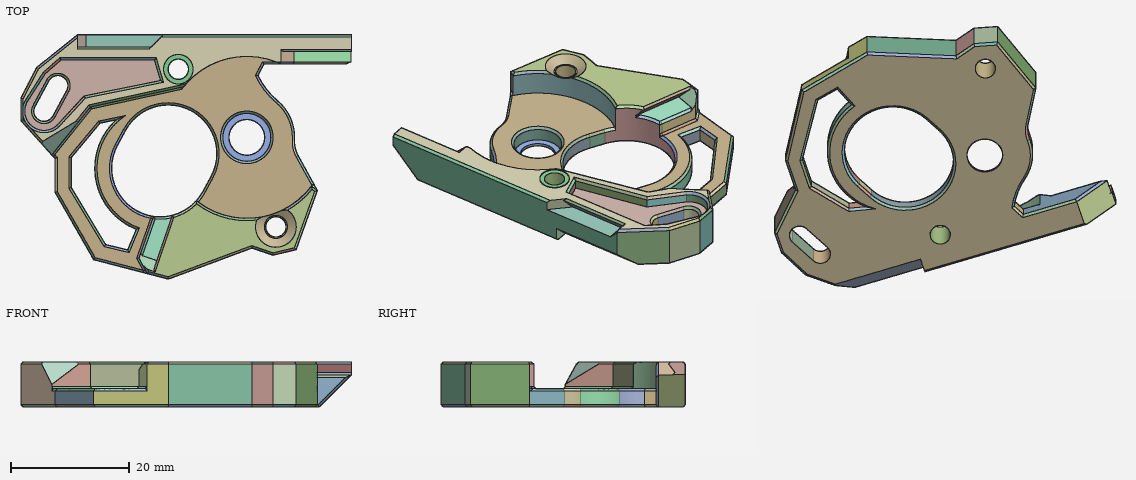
import cadquery as cq
import math

LENGTH = 56.0
WIDTH = 41.37
HEIGHT = 7.65
PLATE_TOP = 3.1
EDGE = 0.4
FOOT = 0.35
OVERSHOOT = 1.0

STEP_FLOOR = 5.75
STEP_DEPTH = HEIGHT - STEP_FLOOR
STEP_UNDERCUT = 1.1
STEP_LIP = 0.35
RAIL_STEP_FLOOR = 5.4
RAIL_STEP_FOOT = 0.45

RAIL_BOTTOM_Y = 36.38
RAIL_STEP_X = 44.0
RAIL_STEP_Y = 38.5
RAIL_SLOPE_HEIGHT = 5.5

PIVOT = (38.25, 24.0)
PIVOT_DIAMETER = 6.0
PIVOT_BORE_DIAMETER = 8.1
PIVOT_LEDGE_Z = 0.5
RECESS_RADIUS = 13.7
PIVOT_LOBE_RADIUS = 8.1
LOBE_BLEND_RADIUS = 5.0

SLOT_ANGLE = 61.6
OPENING_LOW_CENTER = (23.6, 18.76)
OPENING_TRAVEL = 2.84
OPENING_RADIUS = 8.2
RING_RADIUS = 11.1
SLIT_CORNERS = [(13.4, 26.38), (8.55, 20.56), (8.55, 15.51), (14.38, 5.87), (18.09, 4.97)]
SLIT_ARC_ANGLES = (248.5, 185, 132.5)

PIN_CENTER = (26.66, 35.53)
PIN_DIAMETER = 3.4
PIN_SEAT_DIAMETER = 5.0
PIN_SEAT_DEPTH = 0.1
POCKET_FLOOR = STEP_FLOOR
SLOT_LOW_CENTER = (3.93, 28.43)
SLOT_TRAVEL = 4.9
SLOT_DIAMETER = 3.4
POCKET_END_RADIUS = 3.25
POCKET_CORNERS = [(4.13, 34.75), (6.8, 37.08), (22.61, 37.08), (23.65, 33.62), (10.73, 31.01)]
POCKET_ARC_ANGLES = (-48, -120, -208.4)
UPPER_WALL_START_X = 5.25
UPPER_WALL_CORNERS = [(11.77, 29.13), (27.02, 32.44)]
NOTCH_FRONT_Y = 39.32
NOTCH_START_X = 9.61
NOTCH_RAMP_X = 9.1
NOTCH_END_X = 22.1
BOTTOM_BEVEL = 2.6
FACET_TOP_LEFT = (3.57, 23.23, HEIGHT)
FACET_TOP_RIGHT = (9.75, 26.97, HEIGHT)
FACET_BOTTOM = (5.17, 21.07, 3.95)
FACET_CUT_LENGTH = 9.0

SCREW_CENTER = (43.17, 8.85)
SCREW_DIAMETER = 3.4
SCREW_SEAT_DIAMETER = 3.9
SCREW_HEAD_DIAMETER = 6.9
SCREW_HEAD_DEPTH = 1.1
LOWER_WALL_CORNERS = [(22.3, 10.17), (20.0, 3.57)]
LOWER_WALL_END_X = 21.4
INSIDE_OPENING = (25.6, 19.0)
STEP_WALL_BOTTOM = (22.4, 1.35)
STEP_WALL_TOP = (25.47, 10.31)
STEP_WIDTH = 6.0

BACK_LEFT = (NOTCH_START_X, WIDTH)
LEFT_CORNERS = [(2.67, 35.81), (0.0, 30.62), (0.0, 26.83)]
WAIST = (5.78, 20.42)
LOWER_LEFT_CORNERS = [(5.78, 14.72), (12.33, 3.29)]
LOWEST = (24.97, 0.0)
FOOT_CORNERS = [(39.1, 5.25), (42.67, 4.04), (46.6, 4.97)]
TIP = (50.2, 15.0)
HOOK = (40.15, 34.47)
HOOK_ROOT = (41.15, RAIL_BOTTOM_Y)


def along(point, angle, distance):
    """Point at a distance from another one in a direction given in degrees."""
    turn = math.radians(angle)
    return (point[0] + distance * math.cos(turn), point[1] + distance * math.sin(turn))


def between(start, end, x):
    """Point on the straight line through start and end at a given X."""
    share = (x - start[0]) / (end[0] - start[0])
    return (x, start[1] + share * (end[1] - start[1]))


def nearest(point):
    """Selector of the edge whose centre is closest to a point."""
    return cq.selectors.NearestToPointSelector(point)


def at_height(z):
    """Horizontal workplane at a given Z."""
    return cq.Workplane("XY", origin=(0, 0, z))


LOBE_START = along(PIVOT, -12, PIVOT_LOBE_RADIUS)
LOBE_MIDDLE = along(PIVOT, 20, PIVOT_LOBE_RADIUS)
LOBE_END = along(PIVOT, 50, PIVOT_LOBE_RADIUS)


def oblong(low_center, travel, diameter, z, height):
    """Upright prism with rounded ends, tilted by the common slot angle."""
    center = along(low_center, SLOT_ANGLE, travel / 2)
    return (
        at_height(z).center(*center).slot2D(travel + diameter, diameter, SLOT_ANGLE).extrude(height)
    )


def oblong_rim(low_center, travel, diameter, top):
    """Bevel cutter for the upper rim of an oblong opening."""
    center = along(low_center, SLOT_ANGLE, travel / 2)
    width = diameter + 2 * EDGE
    rim = at_height(top).center(*center).slot2D(travel + width, width, SLOT_ANGLE)
    return rim.extrude(-EDGE, taper=45)


def cylinder(center, diameter, z, height):
    """Upright cylinder standing at height z."""
    return at_height(z).center(*center).circle(diameter / 2).extrude(height)


def outline_prism():
    """Full-height prism of the plan outline, rail included."""
    return (
        cq.Workplane("XY")
        .polyline([BACK_LEFT, *LEFT_CORNERS, WAIST, *LOWER_LEFT_CORNERS, LOWEST, *FOOT_CORNERS, TIP])
        .lineTo(*LOBE_START)
        .threePointArc(LOBE_MIDDLE, LOBE_END)
        .tangentArcPoint(HOOK, relative=False)
        .lineTo(*HOOK_ROOT)
        .lineTo(LENGTH, RAIL_BOTTOM_Y)
        .lineTo(LENGTH, WIDTH)
        .close()
        .extrude(HEIGHT)
        .edges(nearest((*LOBE_START, HEIGHT / 2)))
        .fillet(LOBE_BLEND_RADIUS)
    )


def slit():
    """Through slit between the outer frame and the ring of the large opening."""
    arc_start, arc_middle, arc_end = [
        along(OPENING_LOW_CENTER, angle, RING_RADIUS) for angle in SLIT_ARC_ANGLES
    ]
    return (
        cq.Workplane("XY")
        .polyline([arc_end, *SLIT_CORNERS, arc_start])
        .threePointArc(arc_middle, arc_end)
        .close()
        .extrude(HEIGHT)
    )


def opening():
    """Large oblong through opening."""
    return oblong(OPENING_LOW_CENTER, OPENING_TRAVEL, 2 * OPENING_RADIUS, 0, HEIGHT)


def recess():
    """Round clearance cut from the raised blocks, centred on the pivot."""
    return cylinder(PIVOT, 2 * RECESS_RADIUS, 0, HEIGHT)


def slide_step(length, width, depth=STEP_DEPTH, foot=0.0):
    """Cutter with an undercut wall along +X from the origin, open towards +Y, ramped at its start."""
    profile = [
        (-STEP_LIP, 0),
        (0, -STEP_LIP),
        (-STEP_UNDERCUT, foot - depth),
        (width, -depth),
        (width, 0),
    ]
    if foot:
        profile.insert(3, (foot - STEP_UNDERCUT, -depth))
    section = cq.Workplane("YZ").polyline(profile).close().extrude(length)
    ramp = (
        cq.Workplane("XZ")
        .polyline([(0, 0), (depth, -depth), (length, -depth), (length, 0)])
        .close()
        .extrude(width + OVERSHOOT, both=True)
    )
    return section.intersect(ramp)


def build_plate(outline):
    """Base plate with its through openings and bevelled edges."""
    layer = cq.Workplane("XY").rect(LENGTH, WIDTH, centered=False).extrude(PLATE_TOP)
    plate = outline.intersect(layer)
    plate = plate.cut(opening()).cut(slit())
    plate = plate.faces("<Z").chamfer(EDGE)
    plate = plate.cut(cylinder(PIVOT, PIVOT_DIAMETER, 0, HEIGHT))
    plate = plate.cut(cylinder(PIVOT, PIVOT_BORE_DIAMETER, PIVOT_LEDGE_Z, HEIGHT))
    return plate.faces(">Z").chamfer(EDGE)


def block_on_plate(corners):
    """Straight block standing on the plate."""
    base = PLATE_TOP / 2
    return at_height(base).polyline(corners).close().extrude(HEIGHT - base)


def wall_foot(corners, outline):
    """Bevel around the foot of a block, kept inside the outline and clear of the openings."""
    foot = (
        at_height(PLATE_TOP).polyline(corners).close().offset2D(FOOT, "intersection")
        .extrude(FOOT, taper=45)
    )
    return foot.intersect(outline).cut(recess()).cut(opening()).cut(slit())


def pocket():
    """Pocket of the upper block with a bevelled rim."""
    arc_start, arc_middle, arc_end = [
        along(SLOT_LOW_CENTER, angle, POCKET_END_RADIUS) for angle in POCKET_ARC_ANGLES
    ]

    def profile(z):
        lines = at_height(z).polyline([arc_end, *POCKET_CORNERS, arc_start])
        return lines.threePointArc(arc_middle, arc_end).close()

    rim = profile(HEIGHT).offset2D(EDGE, "intersection").extrude(-EDGE, taper=45)
    return profile(POCKET_FLOOR).extrude(HEIGHT - POCKET_FLOOR).union(rim)


def rail_step():
    """Slide step along the inner side of the rail, open at the rail end."""
    length = LENGTH - RAIL_STEP_X + OVERSHOOT
    step = slide_step(length, WIDTH - RAIL_BOTTOM_Y, HEIGHT - RAIL_STEP_FLOOR, RAIL_STEP_FOOT)
    return step.mirror("XZ").translate((RAIL_STEP_X, RAIL_STEP_Y, HEIGHT))


def back_notch():
    """Slide step along the back edge, ended by a 45 degree wall."""
    reach = WIDTH - NOTCH_FRONT_Y + OVERSHOOT
    step = slide_step(2 * NOTCH_END_X, reach).translate((NOTCH_RAMP_X, NOTCH_FRONT_Y, HEIGHT))
    plan = (
        at_height(STEP_FLOOR)
        .moveTo(NOTCH_START_X, NOTCH_FRONT_Y - STEP_UNDERCUT)
        .lineTo(NOTCH_END_X - STEP_UNDERCUT, NOTCH_FRONT_Y - STEP_UNDERCUT)
        .lineTo(NOTCH_END_X + reach, NOTCH_FRONT_Y + reach)
        .lineTo(NOTCH_START_X, NOTCH_FRONT_Y + reach)
        .close()
        .extrude(STEP_DEPTH)
    )
    return step.intersect(plan)


def corner_facet():
    """Cutter above the sloping facet at the waist of the upper block."""
    left = cq.Vector(*FACET_TOP_LEFT)
    ridge = cq.Vector(*FACET_TOP_RIGHT) - left
    normal = ridge.cross(cq.Vector(*FACET_BOTTOM) - left) * -1
    middle = left + ridge * 0.5
    plane = cq.Plane(origin=middle.toTuple(), xDir=ridge.toTuple(), normal=normal.toTuple())
    return cq.Workplane(plane).rect(FACET_CUT_LENGTH, 2 * HEIGHT).extrude(HEIGHT)


def build_upper_block():
    """Raised block with the rail; returns the block and its footprint corners."""
    wall_start = between(LEFT_CORNERS[-1], WAIST, UPPER_WALL_START_X)
    wall = [wall_start, *UPPER_WALL_CORNERS, HOOK_ROOT]
    corners = [BACK_LEFT, *LEFT_CORNERS, *wall, (LENGTH, RAIL_BOTTOM_Y), (LENGTH, WIDTH)]
    block = block_on_plate(corners).faces(">Z").edges("not >X").chamfer(EDGE)
    block = block.cut(recess()).cut(pocket()).cut(back_notch()).cut(rail_step())
    rail_depth = HEIGHT - RAIL_STEP_FLOOR
    floor_middle_x = (RAIL_STEP_X + rail_depth + LENGTH) / 2
    floor_edge = nearest((floor_middle_x, RAIL_BOTTOM_Y, RAIL_STEP_FLOOR))
    ramp_edge = nearest((RAIL_STEP_X + rail_depth / 2, RAIL_BOTTOM_Y, HEIGHT - rail_depth / 2))
    block = block.edges(floor_edge + ramp_edge).chamfer(EDGE)
    block = block.cut(corner_facet())
    return block, corners


def build_lower_block():
    """Raised block at the screw hole; returns the block and its footprint corners."""
    wall_end = between(LOWER_LEFT_CORNERS[-1], LOWEST, LOWER_WALL_END_X)
    wall = [*LOWER_WALL_CORNERS, wall_end]
    corners = [*wall, LOWEST, *FOOT_CORNERS, TIP, PIVOT, INSIDE_OPENING]
    block = block_on_plate(corners).cut(recess()).cut(opening())
    block = block.faces(">Z").chamfer(EDGE)
    run = (STEP_WALL_TOP[0] - STEP_WALL_BOTTOM[0], STEP_WALL_TOP[1] - STEP_WALL_BOTTOM[1])
    step = slide_step(2 * math.hypot(*run), STEP_WIDTH)
    step = step.rotate((0, 0, 0), (0, 0, 1), math.degrees(math.atan2(run[1], run[0])))
    step = step.translate((*STEP_WALL_BOTTOM, HEIGHT))
    block = block.cut(step)
    (top_x, top_y), (bottom_x, bottom_y) = LOWER_WALL_CORNERS
    step_edge = ((top_x + bottom_x) / 2, (top_y + bottom_y) / 2, STEP_FLOOR)
    block = block.edges(nearest(step_edge)).chamfer(EDGE)
    rim = oblong_rim(OPENING_LOW_CENTER, OPENING_TRAVEL, 2 * OPENING_RADIUS, STEP_FLOOR)
    block = block.cut(rim.intersect(step.translate((0, 0, -EDGE))))
    return block, corners


def bore_holes(body):
    """Pin hole, small slot and countersunk screw hole."""
    body = body.cut(cylinder(PIN_CENTER, PIN_DIAMETER, 0, HEIGHT))
    body = body.cut(cylinder(PIN_CENTER, PIN_SEAT_DIAMETER, HEIGHT - PIN_SEAT_DEPTH, HEIGHT))
    body = body.cut(oblong(SLOT_LOW_CENTER, SLOT_TRAVEL, SLOT_DIAMETER, 0, HEIGHT))
    body = body.cut(oblong_rim(SLOT_LOW_CENTER, SLOT_TRAVEL, SLOT_DIAMETER, POCKET_FLOOR))
    body = body.cut(cylinder(SCREW_CENTER, SCREW_DIAMETER, 0, HEIGHT))
    head = cq.Solid.makeCone(
        SCREW_SEAT_DIAMETER / 2, SCREW_HEAD_DIAMETER / 2, SCREW_HEAD_DEPTH,
        cq.Vector(*SCREW_CENTER, HEIGHT - SCREW_HEAD_DEPTH),
    )
    return body.cut(cq.Workplane(head))


def rail_end_slope():
    """45 degree undercut at the free end of the rail."""
    return (
        cq.Workplane("XZ", origin=(0, WIDTH + OVERSHOOT, 0))
        .polyline([(LENGTH, RAIL_SLOPE_HEIGHT), (LENGTH - RAIL_SLOPE_HEIGHT, 0), (LENGTH, 0)])
        .close()
        .extrude(WIDTH)
    )


def bottom_back_bevel():
    """45 degree bevel under the back notch, open at the left."""
    return (
        cq.Workplane("YZ")
        .polyline([(WIDTH, BOTTOM_BEVEL), (WIDTH - BOTTOM_BEVEL, 0), (WIDTH, 0)])
        .close()
        .extrude(NOTCH_END_X)
    )


outline = outline_prism()
body = build_plate(outline)
for block, footprint in (build_upper_block(), build_lower_block()):
    body = body.union(block).union(wall_foot(footprint, outline))
body = bore_holes(body)
body = body.cut(rail_end_slope()).cut(bottom_back_bevel())
slope_edge = (LENGTH - RAIL_SLOPE_HEIGHT / 2, RAIL_BOTTOM_Y, RAIL_SLOPE_HEIGHT / 2)
result = body.edges(nearest(slope_edge)).chamfer(EDGE)